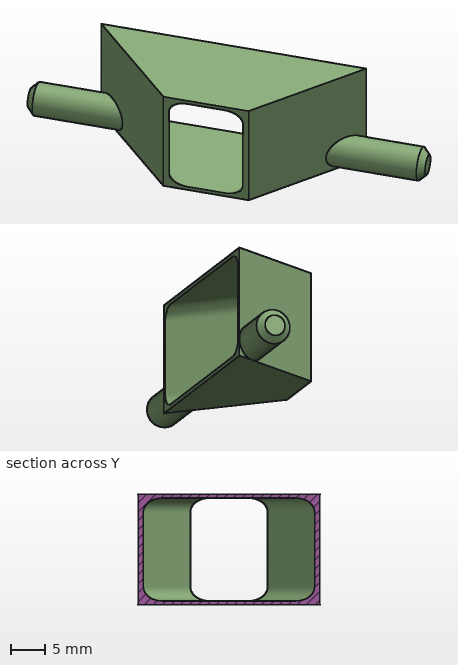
import cadquery as cq

total_length = 60.0
body_height = 16.1
body_depth = 14.7
back_width = 40.0
front_width = 12.85
side_wall_along_x = 0.85
floor_thickness = 0.6
cavity_corner_radius = 2.0
pin_diameter = 5.05
pin_chamfer = 1.0


def trapezoid_prism(back, front, height):
    """Prism on z = 0 whose plan narrows from the back face to the front face."""
    return (
        cq.Workplane("XY")
        .polyline([
            (-back / 2, 0),
            (back / 2, 0),
            (front / 2, -body_depth),
            (-front / 2, -body_depth),
        ])
        .close()
        .extrude(height)
    )


def make_pins():
    """Chamfered round bar along X, flush with the back face and the bottom."""
    pin_radius = pin_diameter / 2
    return (
        cq.Workplane("YZ", origin=(-total_length / 2, -pin_radius, pin_radius))
        .circle(pin_radius)
        .extrude(total_length)
        .faces("<X or >X")
        .chamfer(pin_chamfer)
    )


def make_cavity():
    """Through opening with walls parallel to the body sides and rounded long edges."""
    cavity = trapezoid_prism(
        back_width - 2 * side_wall_along_x,
        front_width - 2 * side_wall_along_x,
        body_height - 2 * floor_thickness,
    )
    long_edges = cavity.edges("#Z").edges("not |X")
    return long_edges.fillet(cavity_corner_radius).translate((0, 0, floor_thickness))


body = trapezoid_prism(back_width, front_width, body_height)

result = body.union(make_pins()).cut(make_cavity())